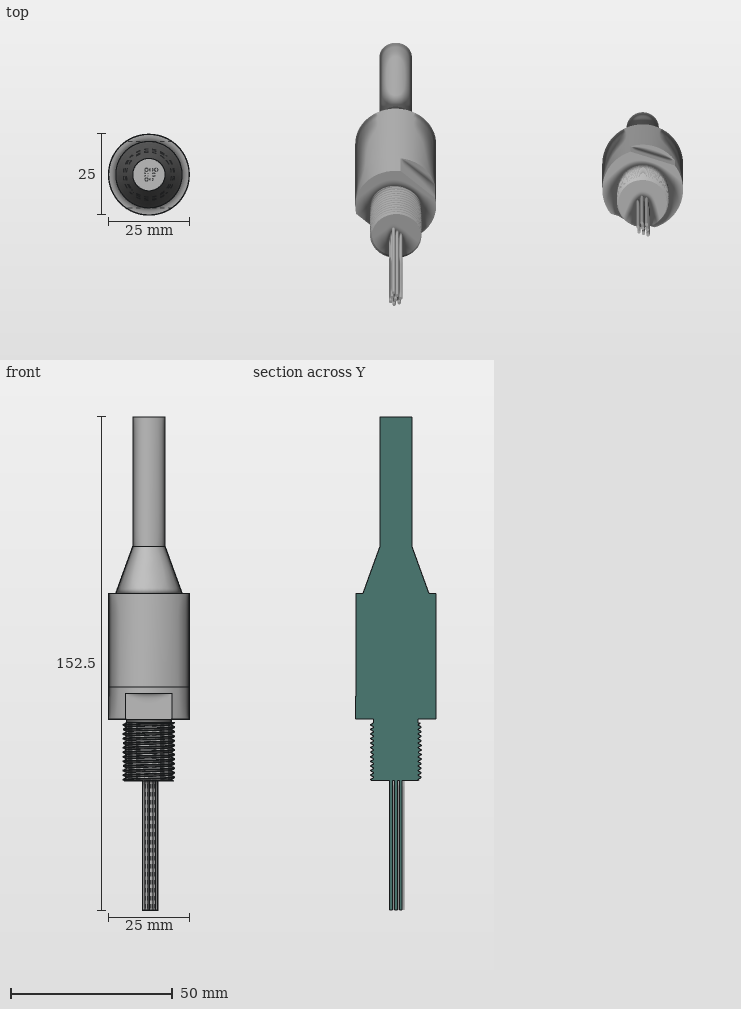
import cadquery as cq
import math

WIRE_LENGTH = 40.0
THREAD_LENGTH = 18.0
NECK_LENGTH = 1.0
COLLAR_LENGTH = 10.0
BODY_LENGTH = 29.0
CONE_LENGTH = 14.5
ROD_LENGTH = 40.0

THREAD_BOTTOM = WIRE_LENGTH
THREAD_TOP = THREAD_BOTTOM + THREAD_LENGTH
COLLAR_BOTTOM = THREAD_TOP + NECK_LENGTH
BODY_BOTTOM = COLLAR_BOTTOM + COLLAR_LENGTH
CONE_BOTTOM = BODY_BOTTOM + BODY_LENGTH
ROD_BOTTOM = CONE_BOTTOM + CONE_LENGTH

ROD_DIAMETER = 10.0
CONE_BASE_DIAMETER = 20.5
BODY_DIAMETER = 25.0
COLLAR_DIAMETER = 25.01

ACROSS_FLATS = 20.5
FLAT_HEIGHT = 8.0

THREAD_MAJOR_DIAMETER = 15.875
THREAD_MINOR_DIAMETER = 13.88
THREAD_PITCH = 25.4 / 18
THREAD_HALF_ANGLE = 30.0
THREAD_CREST = THREAD_PITCH / 8
THREAD_START_ANGLE = 75.0
ROOT_OVERLAP = 0.05

WIRE_DIAMETER = 1.0
WIRE_SPACING = 1.5
WIRE_EMBED = 1.0
WIRE_ROWS = (
    (2, -WIRE_SPACING / 2, -WIRE_SPACING),
    (3, -WIRE_SPACING, 0.0),
    (3, -WIRE_SPACING / 2, WIRE_SPACING),
)


def cylinder(diameter, bottom, height):
    """Upright cylinder on the part axis, standing on the given height."""
    return cq.Workplane("XY").workplane(offset=bottom).circle(diameter / 2).extrude(height)


def make_cone():
    """Taper from the top of the body up to the rod."""
    return (
        cq.Workplane("XY")
        .workplane(offset=CONE_BOTTOM)
        .circle(CONE_BASE_DIAMETER / 2)
        .workplane(offset=CONE_LENGTH)
        .circle(ROD_DIAMETER / 2)
        .loft(ruled=True)
    )


def make_collar():
    """Round collar with two opposite wrench flats, facing -Y and +Y."""
    collar = cylinder(COLLAR_DIAMETER, COLLAR_BOTTOM, COLLAR_LENGTH)
    between_flats = (
        cq.Workplane("XY")
        .workplane(offset=COLLAR_BOTTOM)
        .rect(COLLAR_DIAMETER, ACROSS_FLATS)
        .extrude(FLAT_HEIGHT)
    )
    above_flats = cylinder(COLLAR_DIAMETER, COLLAR_BOTTOM + FLAT_HEIGHT, COLLAR_LENGTH - FLAT_HEIGHT)
    return collar.intersect(between_flats.union(above_flats))


def make_thread():
    """Right-hand helical ridge, cut off flat at both ends of the thread."""
    root_radius = THREAD_MINOR_DIAMETER / 2 - ROOT_OVERLAP
    crest_radius = THREAD_MAJOR_DIAMETER / 2
    half_crest = THREAD_CREST / 2
    flank_rise = (crest_radius - root_radius) * math.tan(math.radians(THREAD_HALF_ANGLE))
    half_root = half_crest + flank_rise
    helix = cq.Wire.makeHelix(THREAD_PITCH, THREAD_LENGTH + 2 * THREAD_PITCH, root_radius)
    ridge = (
        cq.Workplane("XZ")
        .polyline([
            (root_radius, -half_root),
            (crest_radius, -half_crest),
            (crest_radius, half_crest),
            (root_radius, half_root),
        ])
        .close()
        .sweep(cq.Workplane(obj=helix), isFrenet=True)
        .rotate((0, 0, 0), (0, 0, 1), THREAD_START_ANGLE)
        .translate((0, 0, THREAD_BOTTOM - THREAD_PITCH))
    )
    envelope = cylinder(BODY_DIAMETER, THREAD_BOTTOM, THREAD_LENGTH)
    core = cylinder(THREAD_MINOR_DIAMETER, THREAD_BOTTOM, THREAD_LENGTH + NECK_LENGTH)
    return core.union(ridge.intersect(envelope))


def make_wires():
    """Wires that start inside the threaded core and hang down from it."""
    centers = [
        (first_x + place * WIRE_SPACING, row_y)
        for count, first_x, row_y in WIRE_ROWS
        for place in range(count)
    ]
    return (
        cq.Workplane("XY")
        .pushPoints(centers)
        .circle(WIRE_DIAMETER / 2)
        .extrude(WIRE_LENGTH + WIRE_EMBED)
    )


rod = cylinder(ROD_DIAMETER, ROD_BOTTOM, ROD_LENGTH)
body = cylinder(BODY_DIAMETER, BODY_BOTTOM, BODY_LENGTH)
result = rod
for section in (make_cone(), body, make_collar(), make_thread(), make_wires()):
    result = result.union(section)